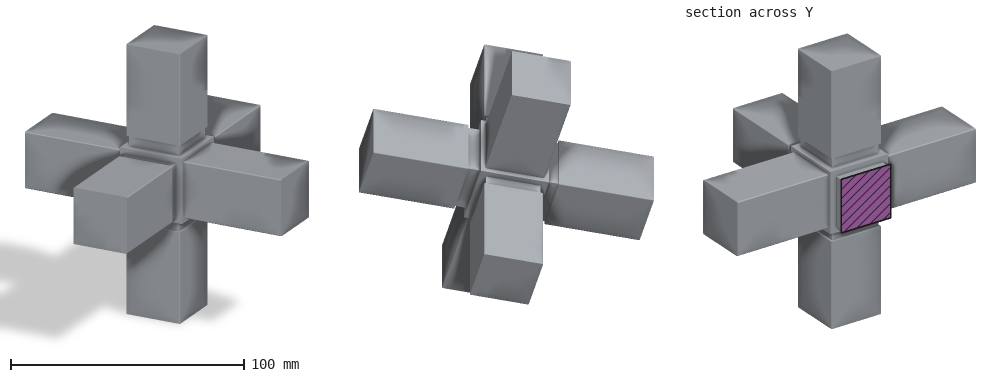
import cadquery as cq

span = 124.0
hub_size = 30.0
arm_width = 26.0
neck_width = 24.0
neck_length = 5.0
edge_radius = 0.5

hub_half = hub_size / 2
arm_length = span / 2 - hub_half


def square_bar(width, start, length):
    """Upright square bar on the Z axis, beginning at height start."""
    return cq.Workplane("XY").workplane(offset=start).rect(width, width).extrude(length)


def plain_arm():
    """Upright arm of constant section with rounded long edges."""
    return square_bar(arm_width, hub_half, arm_length).edges("|Z").fillet(edge_radius)


def necked_arm():
    """Upright arm with a narrower sharp-edged neck next to the hub."""
    neck = square_bar(neck_width, hub_half, neck_length)
    plug = square_bar(arm_width, hub_half + neck_length, arm_length - neck_length)
    return neck.union(plug.edges("|Z").fillet(edge_radius))


result = cq.Workplane("XY").box(hub_size, hub_size, hub_size)

for angle in (0, 90, 180, 270):
    result = result.union(necked_arm().rotate((0, 0, 0), (1, 0, 0), angle))

for angle in (90, 270):
    result = result.union(plain_arm().rotate((0, 0, 0), (0, 1, 0), angle))